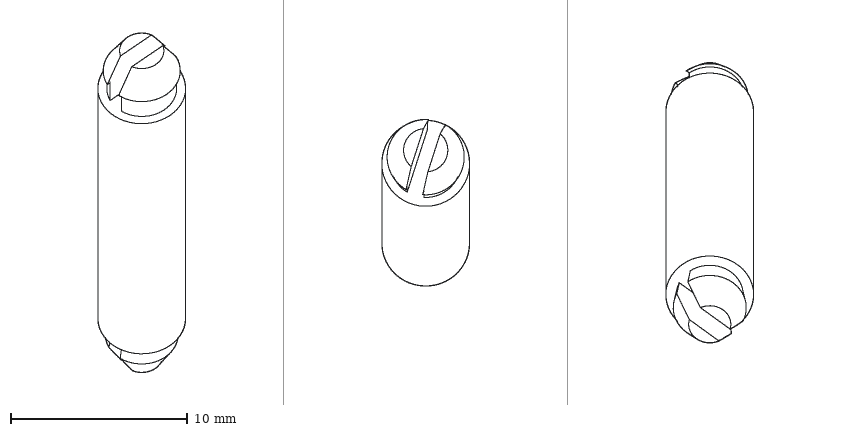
import cadquery as cq

total_length = 29.2
body_radius = 5.0 / 2
slot_width = 1.0

upper_head_length = 3.6
upper_tip_length = 1.9
upper_neck_radius = 2.0
upper_barb_radius = 2.2
upper_tip_radius = 1.25

lower_head_length = 3.55
lower_tip_length = 2.01
lower_neck_radius = 1.9
lower_barb_radius = 2.07
lower_tip_radius = 1.2

body_bottom = lower_head_length
body_top = total_length - upper_head_length
upper_barb_height = total_length - upper_tip_length


def revolved_pin():
    """Solid of revolution from half the pin outline (radius, height)."""
    return (
        cq.Workplane("XZ")
        .moveTo(0, 0)
        .lineTo(lower_tip_radius, 0)
        .lineTo(lower_barb_radius, lower_tip_length)
        .lineTo(lower_neck_radius, body_bottom)
        .lineTo(body_radius, body_bottom)
        .lineTo(body_radius, body_top)
        .lineTo(upper_neck_radius, body_top)
        .lineTo(upper_neck_radius, upper_barb_height)
        .lineTo(upper_barb_radius, upper_barb_height)
        .lineTo(upper_tip_radius, total_length)
        .lineTo(0, total_length)
        .close()
        .revolve(360, (0, 0, 0), (0, 1, 0))
    )


def head_slot(start_height, depth):
    """Slot along Y that splits a snap head into two prongs."""
    return (
        cq.Workplane("XY", origin=(0, 0, start_height))
        .rect(slot_width, 2 * body_radius)
        .extrude(depth)
    )


result = (
    revolved_pin()
    .cut(head_slot(0, lower_head_length))
    .cut(head_slot(body_top, upper_head_length))
)